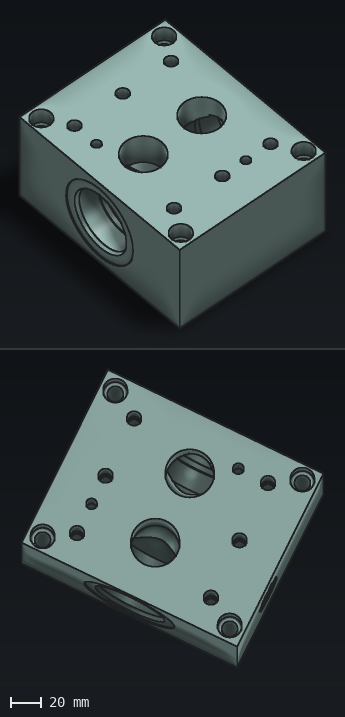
import cadquery as cq
import math

LENGTH = 155.57
WIDTH = 127.0
HEIGHT = 76.2
TOP = HEIGHT / 2

DRILL_POINT_ANGLE = 118.0

MOUNT_DIAMETER = 10.31
MOUNT_CBORE_DIAMETER = 15.88
MOUNT_CBORE_DEPTH = 12.7
MOUNT_X = 67.3
MOUNT_Y = 53.45
MOUNT_Y_SHIFT = 0.36

TAP_DRILL_DIAMETER = 7.92
TAP_DRILL_DEPTH = 25.4
THREAD_DIAMETER = 9.53
THREAD_DEPTH = 19.05
TAP_X = 48.3
TAP_Y = 42.0

PILOT_DIAMETER = 7.14
PILOT_DEPTH = 19.05
PILOT_POINTS = [(TAP_X, 20.6), (-26.9, -TAP_Y)]

FLOW_DIAMETER = 31.75
FLOW_DEPTH = 25.4
FLOW_Y = 25.4

MAIN_PORT = {
    "spotface_diameter": 65.13,
    "spotface_depth": 0.9,
    "mouth_diameter": 50.2,
    "seat_diameter": 48.06,
    "seat_depth": 3.8,
    "thread_diameter": 47.62,
    "thread_depth": 19.8,
    "minor_diameter": 45.57,
    "minor_depth": 23.8,
    "drill_diameter": 42.6,
    "drill_depth": 38.4,
}

CONTROL_PORT = {
    "spotface_diameter": 25.02,
    "spotface_depth": 0.9,
    "mouth_diameter": 15.5,
    "seat_diameter": 14.53,
    "seat_depth": 3.3,
    "thread_diameter": 14.28,
    "thread_depth": 13.0,
    "minor_diameter": 12.9,
    "minor_depth": 15.0,
    "drill_diameter": 12.29,
    "drill_depth": 20.0,
}
CONTROL_PORT_Y = 17.6

DOWN = cq.Vector(0, 0, -1)


def cylinder(diameter, depth, mouth, direction):
    """Cylinder running from the mouth point along the direction."""
    return cq.Solid.makeCylinder(diameter / 2, depth, mouth, direction)


def blind_drill(diameter, depth, mouth, direction):
    """Drilled hole: a cylinder of the given depth ending in a drill point."""
    radius = diameter / 2
    point_length = radius / math.tan(math.radians(DRILL_POINT_ANGLE / 2))
    point = cq.Solid.makeCone(radius, 0, point_length, mouth + direction * depth, direction)
    return cylinder(diameter, depth, mouth, direction).fuse(point)


def port(size, mouth, direction):
    """Threaded port: spotface, tapered seal seat, thread, minor bore and drill."""
    spotface = cylinder(size["spotface_diameter"], size["spotface_depth"], mouth, direction)
    seat = cq.Solid.makeCone(
        size["mouth_diameter"] / 2,
        size["seat_diameter"] / 2,
        size["seat_depth"] - size["spotface_depth"],
        mouth + direction * size["spotface_depth"],
        direction,
    )
    thread = cylinder(size["thread_diameter"], size["thread_depth"], mouth, direction)
    minor = blind_drill(size["minor_diameter"], size["minor_depth"], mouth, direction)
    drill = blind_drill(size["drill_diameter"], size["drill_depth"], mouth, direction)
    return spotface.fuse(seat, thread, minor, drill)


def mounting_holes(body):
    for side_x in (-1, 1):
        for side_y in (-1, 1):
            y = side_y * MOUNT_Y + side_x * MOUNT_Y_SHIFT
            mouth = cq.Vector(side_x * MOUNT_X, y, TOP)
            body = body.cut(cylinder(MOUNT_DIAMETER, HEIGHT, mouth, DOWN))
            body = body.cut(cylinder(MOUNT_CBORE_DIAMETER, MOUNT_CBORE_DEPTH, mouth, DOWN))
    return body


def tapped_holes(body):
    for x in (-TAP_X, TAP_X):
        for y in (-TAP_Y, 0, TAP_Y):
            mouth = cq.Vector(x, y, TOP)
            body = body.cut(blind_drill(TAP_DRILL_DIAMETER, TAP_DRILL_DEPTH, mouth, DOWN))
            body = body.cut(cylinder(THREAD_DIAMETER, THREAD_DEPTH, mouth, DOWN))
    return body


def pilot_passages(body):
    for x, y in PILOT_POINTS:
        body = body.cut(blind_drill(PILOT_DIAMETER, PILOT_DEPTH, cq.Vector(x, y, TOP), DOWN))
    return body


def main_ports(body):
    for side in (-1, 1):
        port_mouth = cq.Vector(0, side * WIDTH / 2, 0)
        body = body.cut(port(MAIN_PORT, port_mouth, cq.Vector(0, -side, 0)))
        flow_mouth = cq.Vector(0, side * FLOW_Y, TOP)
        body = body.cut(blind_drill(FLOW_DIAMETER, FLOW_DEPTH, flow_mouth, DOWN))
    return body


def control_port(body):
    mouth = cq.Vector(-LENGTH / 2, CONTROL_PORT_Y, 0)
    return body.cut(port(CONTROL_PORT, mouth, cq.Vector(1, 0, 0)))


result = cq.Workplane("XY").box(LENGTH, WIDTH, HEIGHT)
result = mounting_holes(result)
result = tapped_holes(result)
result = pilot_passages(result)
result = main_ports(result)
result = control_port(result)